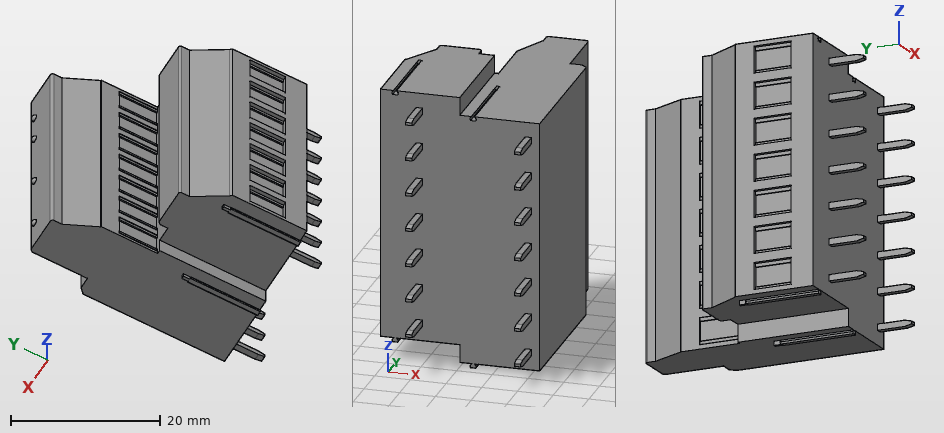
import cadquery as cq


total_height = 38.7
body_width = 22.3
tier_length = 35.55
positions = 7
pitch = tier_length / positions
stagger = pitch / 2

low_top = total_height
low_bottom = low_top - tier_length
tall_top = low_top - stagger
tall_bottom = tall_top - tier_length

tier_split = 11.1
tier_shift = 10.9
head_left = 3.0
head_right = 8.9
low_slope_start = 11.55
shoulder_height = 16.4
low_height = 17.95
tall_wall = 11.65
tall_slope_start = 25.1
tall_slope_end = 29.9
tall_height = 31.5
back_step_height = 22.6
back_chamfer = 0.75
low_front_radius = 0.3
tall_front_radius = 0.4
back_radius = 0.5
low_slope_chamfer = 0.27
tall_slope_chamfer = 0.08

window_height = 3.8
low_window_depth = 0.55
tall_window_depth = 0.08
window_center_height = 2.8
window_center_depth = 0.2
low_window_bottom = 3.3
low_window_top = 8.8
tall_window_top = 22.33

pin_size = 0.9
pin_length = pitch
pin_taper = 1.0
pin_tip = 0.4
pin_x = 5.45
pin_row_spacing = 3 * pitch

rib_x = 2.05
rib_height = tall_bottom
rib_neck = 0.43
rib_widest = 0.9
rib_widest_depth = 0.3
rib_end_width = 0.75
rib_length = 11.8
rib_plain_end = 1.0

bump_x = 18.5
bump_radius = 0.5
bump_height = 0.43
bump_joints = (1, 2, 4, 6)


def box(x0, x1, y0, y1, z0, z1):
    return cq.Workplane("XY").box(x1 - x0, y1 - y0, z1 - z0, centered=False).translate((x0, y0, z0))


def round_edge(body, x, y, radius):
    """Round the Z-direction edge of a tier that passes through (x, y)."""
    reach = 0.05
    z_limit = 2 * total_height
    corner = cq.selectors.BoxSelector((x - reach, y - reach, -z_limit), (x + reach, y + reach, z_limit))
    return body.edges("|Z").edges(corner).fillet(radius)


def make_low_tier():
    outline = [
        (0, 0),
        (0, low_slope_start),
        (low_slope_chamfer, low_slope_start + low_slope_chamfer),
        (head_left, shoulder_height),
        (head_left, low_height),
        (head_right, low_height),
        (head_right, shoulder_height),
        (tier_split, shoulder_height),
        (tier_split, 0),
    ]
    tier = cq.Workplane("XY").polyline(outline).close().extrude(tier_length)
    tier = round_edge(tier, head_left, low_height, low_front_radius)
    tier = round_edge(tier, head_right, low_height, back_radius)
    return tier.translate((0, 0, low_bottom))


def make_tall_tier():
    left = head_left + tier_shift
    right = head_right + tier_shift
    outline = [
        (tier_split, 0),
        (tier_split, shoulder_height),
        (tall_wall, shoulder_height),
        (tall_wall, tall_slope_start),
        (tall_wall + tall_slope_chamfer, tall_slope_start + tall_slope_chamfer),
        (left, tall_slope_end),
        (left, tall_height),
        (right, tall_height),
        (right, back_step_height),
        (body_width - back_chamfer, back_step_height),
        (body_width, back_step_height - back_chamfer),
        (body_width, 0),
    ]
    tier = cq.Workplane("XY").polyline(outline).close().extrude(tier_length)
    tier = round_edge(tier, left, tall_height, tall_front_radius)
    tier = round_edge(tier, right, tall_height, back_radius)
    return tier.translate((0, 0, tall_bottom))


def make_window(wall_x, depth, y0, y1, z):
    floor_x = wall_x + depth
    half = window_height / 2
    half_center = window_center_height / 2
    pocket = box(wall_x, floor_x, y0, y1, z - half, z + half)
    center = box(wall_x, floor_x + window_center_depth, y0, y1, z - half_center, z + half_center)
    return pocket.union(center)


def make_pin(x, z):
    half = pin_size / 2
    half_tip = pin_tip / 2
    taper_start = pin_taper - pin_length
    side = [
        (0, half),
        (taper_start, half),
        (-pin_length, half_tip),
        (-pin_length, -half_tip),
        (taper_start, -half),
        (0, -half),
    ]
    pin = cq.Workplane("YZ").polyline(side).close().extrude(half, both=True)
    return pin.translate((x, 0, z))


def make_dovetail(length, x, z):
    """Dovetail bar that starts at Y = 0 and hangs below height z."""
    half_neck = rib_neck / 2
    half_widest = rib_widest / 2
    half_end = rib_end_width / 2
    section = [
        (-half_neck, 0),
        (-half_widest, -rib_widest_depth),
        (-half_end, -rib_height),
        (half_end, -rib_height),
        (half_widest, -rib_widest_depth),
        (half_neck, 0),
    ]
    return cq.Workplane("XZ").polyline(section).close().extrude(-length).translate((x, 0, z))


def make_rib(x, z):
    half_neck = rib_neck / 2
    neck = box(x - half_neck, x + half_neck, 0, rib_length, z - rib_height, z)
    return make_dovetail(rib_length - rib_plain_end, x, z).union(neck)


def make_bump(z):
    """Spherical cap on the top face of the tall tier."""
    profile = (
        cq.Workplane("XY")
        .moveTo(0, bump_height)
        .lineTo(0, 0)
        .lineTo(bump_radius, 0)
    )
    sphere_radius = (bump_radius**2 + bump_height**2) / (2 * bump_height)
    cap = profile.radiusArc((0, bump_height), -sphere_radius).close().revolve(360, (0, 0), (0, 1))
    return cap.translate((bump_x, tall_height, z))


body = make_low_tier().union(make_tall_tier())

for index in range(positions):
    low_z = low_top - (index + 0.5) * pitch
    tall_z = low_z - stagger
    body = body.cut(make_window(0, low_window_depth, low_window_bottom, low_window_top, low_z))
    body = body.cut(make_window(tall_wall, tall_window_depth, shoulder_height, tall_window_top, tall_z))
    body = body.union(make_pin(pin_x, low_z))
    body = body.union(make_pin(pin_x + pin_row_spacing, tall_z))

for x, top, bottom in (
    (rib_x, low_top, low_bottom),
    (rib_x + tier_shift, tall_top, tall_bottom),
):
    body = body.cut(make_dovetail(rib_length, x, top))
    body = body.union(make_rib(x, bottom))

for joint in bump_joints:
    body = body.union(make_bump(tall_top - joint * pitch))

result = body